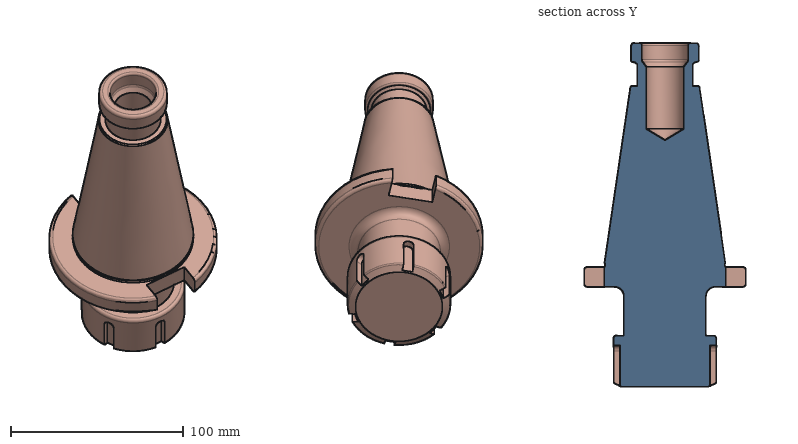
import cadquery as cq
import math

total_height = 199.8
nut_top = 30.0
flange_bottom = 58.0
flange_top = 69.7
taper_bottom = 72.1
taper_top = 174.8
head_bottom = 188.6

nut_radius = 30.0
shank_radius = 24.0
flange_radius = 48.8
taper_large_radius = 35.2
relief_depth = 0.4
taper_slope = 7 / 48
taper_small_radius = taper_large_radius - taper_slope * (taper_top - taper_bottom)
neck_radius = 16.2
head_radius = 19.8

rim_fillet = 2.0
taper_top_chamfer = 0.8
head_bottom_fillet = 1.0
head_cone_height = 1.2
head_cone_radius = 18.2
shank_fillet = 5.2
nut_chamfer_height = 2.2
nut_chamfer_angle = 65.0
nut_chamfer_fillet = 1.0

bore_radius = 13.4
bore_entry_fillet = 1.4
bore_depth = 10.4
bore_floor_fillet = 2.4
bore_cone_height = 3.5
thread_radius = 10.8
thread_depth = 50.0
drill_tip_angle = 118.0

drive_slot_width = 25.8
drive_slot_floor = 35.4

spanner_slot_count = 6
spanner_slot_width = 6.0
spanner_slot_top = 24.0
spanner_slot_floor = 26.2


def revolve(profile):
    """Turn a closed profile, drawn as (radius, height), about the Z axis."""
    return profile.close().revolve(360, (0, 0, 0), (0, 1, 0))


def corner_arc(profile, center, radius, start_angle, end_angle):
    """Continue the profile to an arc and along it, angles in degrees."""
    def at(angle):
        turn = math.radians(angle)
        return (center[0] + radius * math.cos(turn), center[1] + radius * math.sin(turn))

    middle = (start_angle + end_angle) / 2
    return profile.lineTo(*at(start_angle)).threePointArc(at(middle), at(end_angle))


def rim_below(profile, radius, height, fillet):
    """Rounded outer edge at the underside of a disc."""
    return corner_arc(profile, (radius - fillet, height + fillet), fillet, -90, 0)


def rim_above(profile, radius, height, fillet):
    """Rounded outer edge at the upper side of a disc."""
    return corner_arc(profile, (radius - fillet, height - fillet), fillet, 0, 90)


def make_body():
    """Nut, shank, flange, taper, neck and head as one turned solid."""
    profile = cq.Workplane("XZ").moveTo(0, 0)

    chamfer_slope = math.radians(nut_chamfer_angle)
    face_radius = nut_radius - nut_chamfer_height * math.tan(chamfer_slope)
    fillet_height = nut_chamfer_height + nut_chamfer_fillet * math.tan(chamfer_slope / 2)
    fillet_center = (nut_radius - nut_chamfer_fillet, fillet_height)
    profile = profile.lineTo(face_radius, 0)
    profile = corner_arc(profile, fillet_center, nut_chamfer_fillet, -nut_chamfer_angle, 0)
    profile = rim_above(profile, nut_radius, nut_top, rim_fillet)

    profile = profile.lineTo(shank_radius, nut_top)
    blend_center = (shank_radius + shank_fillet, flange_bottom - shank_fillet)
    profile = corner_arc(profile, blend_center, shank_fillet, 180, 90)

    profile = rim_below(profile, flange_radius, flange_bottom, rim_fillet)
    profile = rim_above(profile, flange_radius, flange_top, rim_fillet)

    relief_middle = (taper_large_radius - relief_depth, (flange_top + taper_bottom) / 2)
    profile = (
        profile.lineTo(taper_large_radius, flange_top)
        .lineTo(*relief_middle)
        .lineTo(taper_large_radius, taper_bottom)
        .lineTo(taper_small_radius, taper_top - taper_top_chamfer)
        .lineTo(taper_small_radius - taper_top_chamfer, taper_top)
    )

    profile = (
        profile.lineTo(neck_radius, taper_top)
        .lineTo(neck_radius, head_bottom - head_cone_height)
        .lineTo(head_cone_radius, head_bottom)
    )
    profile = rim_below(profile, head_radius, head_bottom, head_bottom_fillet)
    profile = rim_above(profile, head_radius, total_height, rim_fillet)
    return revolve(profile.lineTo(0, total_height))


def make_bore():
    """Stepped blind hole with a rounded mouth and a conical drill tip."""
    mouth_radius = bore_radius + bore_entry_fillet
    bore_bottom = total_height - bore_depth
    thread_bottom = total_height - thread_depth
    tip_height = thread_radius / math.tan(math.radians(drill_tip_angle / 2))
    profile = (
        cq.Workplane("XZ")
        .moveTo(0, thread_bottom - tip_height)
        .lineTo(thread_radius, thread_bottom)
        .lineTo(thread_radius, bore_bottom - bore_cone_height)
        .lineTo(bore_radius, bore_bottom)
    )
    mouth_center = (mouth_radius, total_height - bore_entry_fillet)
    profile = corner_arc(profile, mouth_center, bore_entry_fillet, 180, 90)
    bore = revolve(profile.lineTo(0, total_height))
    floor_edge = cq.selectors.NearestToPointSelector((0, 0, bore_bottom))
    return bore.edges(floor_edge).fillet(bore_floor_fillet)


def make_drive_slots():
    """Two square slots through the flange, on the -X and +X sides."""
    slot_length = flange_radius - drive_slot_floor
    slot_center = drive_slot_floor + slot_length / 2
    return (
        cq.Workplane("XY", origin=(0, 0, flange_bottom))
        .pushPoints([(-slot_center, 0), (slot_center, 0)])
        .rect(slot_length, drive_slot_width)
        .extrude(flange_top - flange_bottom)
    )


def make_spanner_slot():
    """Round-topped slot on the +X side of the nut, open at the nut face."""
    half_width = spanner_slot_width / 2
    straight_top = spanner_slot_top - half_width
    return (
        cq.Workplane("YZ", origin=(spanner_slot_floor, 0, 0))
        .moveTo(-half_width, 0)
        .lineTo(half_width, 0)
        .lineTo(half_width, straight_top)
        .threePointArc((0, spanner_slot_top), (-half_width, straight_top))
        .close()
        .extrude(nut_radius - spanner_slot_floor)
    )


result = make_body().cut(make_bore()).cut(make_drive_slots())
spanner_slot = make_spanner_slot()
for index in range(spanner_slot_count):
    angle = index * 360 / spanner_slot_count
    result = result.cut(spanner_slot.rotate((0, 0, 0), (0, 0, 1), angle))